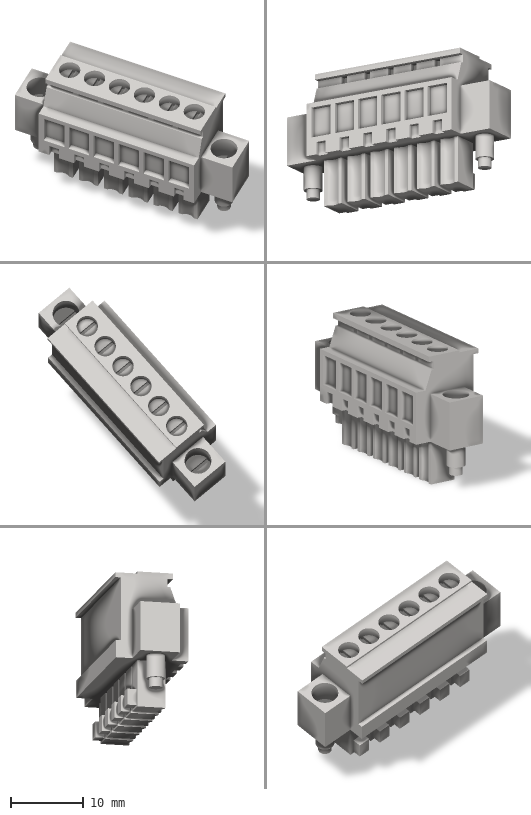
import cadquery as cq


total_length = 33.25
block_length = 23.75
terminal_count = 6
terminal_row_span = 19.05
pitch = terminal_row_span / (terminal_count - 1)
terminal_xs = [i * pitch - terminal_row_span / 2 for i in range(terminal_count)]
gap_xs = [x + pitch / 2 for x in terminal_xs[:-1]]

front_y = -5.2
shelf_y = -3.62
slope_top_y = -2.6
groove_back_y = -2.2
lip_front_y = -3.0
step_y = 2.1
lip_back_y = 5.25
back_y = 4.45
foot_back_y = 5.15
top_z = 12.47
groove_top_z = 11.67
groove_floor_z = 10.5
shelf_z = 7.6
back_lip_top_z = 12.17
back_lip_bottom_z = 11.47
foot_top_z = 2.5

window_width = 3.13
window_height = 4.32
window_bottom_z = 2.6
window_depth = 0.8
notch_width = 1.5
notch_height = 1.8
notch_depth = 0.7
slot_width = 0.9
slot_depth = 0.8

leg_width = 2.9
leg_front_y = -2.1
leg_back_y = 1.9
leg_length = 6.62
flute_width = 1.8
flute_depth = 0.33
hook_width = 1.8
hook_back_y = 3.2
hook_top_z = -4.02
hook_bottom_z = -6.32

flange_length = (total_length - block_length) / 2
flange_width = 5.62
flange_height = 7.0

slot_cut_width = 0.5
slot_cut_depth = 0.5
clamp_screw_diameter = 2.95
clamp_screw_recess = 1.43
clamp_screw_length = 2.65
flange_screw_x = 14.05
flange_head_diameter = 3.72
flange_head_recess = 3.32
flange_head_height = 1.65
flange_shank_diameter = 2.63
flange_shank_end_z = -3.3
flange_tip_diameter = 1.9
flange_tip_end_z = -4.6

clamp_screw_top_z = top_z - clamp_screw_recess
clamp_screw_bottom_z = clamp_screw_top_z - clamp_screw_length
flange_head_top_z = flange_height - flange_head_recess
flange_head_bottom_z = flange_head_top_z - flange_head_height


def box(x_center, x_size, y_min, y_max, z_min, z_max):
    """Box centred on x_center in X and spanning the given Y and Z ranges."""
    return (
        cq.Workplane("XY")
        .box(x_size, y_max - y_min, z_max - z_min, centered=(True, False, False))
        .translate((x_center, y_min, z_min))
    )


def rod(x, diameter, z_min, z_max):
    """Vertical cylinder on the screw axis plane."""
    return cq.Workplane("XY", origin=(x, 0, z_min)).circle(diameter / 2).extrude(z_max - z_min)


def cut_driver_slot(screw, x, head_diameter, head_top_z):
    """Cut a straight driver slot, running along Y, across the head of a screw."""
    radius = head_diameter / 2
    slot = box(x, slot_cut_width, -radius, radius, head_top_z - slot_cut_depth, head_top_z)
    return screw.cut(slot)


def make_block():
    """Central block: one Y-Z profile extruded along the terminal row."""
    profile = [
        (front_y, 0),
        (front_y, shelf_z),
        (shelf_y, shelf_z),
        (slope_top_y, groove_floor_z),
        (groove_back_y, groove_floor_z),
        (groove_back_y, groove_top_z),
        (lip_front_y, groove_top_z),
        (lip_front_y, top_z),
        (step_y, top_z),
        (step_y, back_lip_top_z),
        (lip_back_y, back_lip_top_z),
        (lip_back_y, back_lip_bottom_z),
        (back_y, back_lip_bottom_z),
        (back_y, foot_top_z),
        (foot_back_y, foot_top_z),
        (foot_back_y, 0),
    ]
    return cq.Workplane("YZ").polyline(profile).close().extrude(block_length / 2, both=True)


def make_leg(x):
    """Plug leg with a round flute down its front face and a narrower hook at its back."""
    leg = box(x, leg_width, leg_front_y, leg_back_y, -leg_length, 0)
    hook = box(x, hook_width, leg_back_y, hook_back_y, hook_bottom_z, hook_top_z)
    half_flute = flute_width / 2
    flute = (
        cq.Workplane("XY", origin=(x, leg_front_y, -leg_length))
        .moveTo(-half_flute, 0)
        .threePointArc((0, flute_depth), (half_flute, 0))
        .close()
        .extrude(leg_length)
    )
    return leg.union(hook).cut(flute)


def make_flange(side):
    """Mounting ear at one end of the block; side is -1 or +1."""
    x_center = side * (block_length + flange_length) / 2
    return box(x_center, flange_length, -flange_width / 2, flange_width / 2, 0, flange_height)


def make_housing():
    """Block, legs and flanges as one solid, with its openings and screw holes."""
    housing = make_block()
    for side in (-1, 1):
        housing = housing.union(make_flange(side))
    for x in terminal_xs:
        housing = housing.union(make_leg(x))

    window_top_z = window_bottom_z + window_height
    for x in terminal_xs:
        housing = housing.cut(
            box(x, window_width, front_y, front_y + window_depth, window_bottom_z, window_top_z)
        )
        housing = housing.cut(box(x, notch_width, front_y, front_y + notch_depth, 0, notch_height))
        housing = housing.cut(rod(x, clamp_screw_diameter, clamp_screw_bottom_z, top_z))

    for x in gap_xs:
        slot_back_y = groove_back_y + slot_depth
        housing = housing.cut(
            box(x, slot_width, groove_back_y, slot_back_y, groove_floor_z, groove_top_z)
        )

    for side in (-1, 1):
        x = side * flange_screw_x
        housing = housing.cut(rod(x, flange_head_diameter, flange_head_bottom_z, flange_height))
        housing = housing.cut(rod(x, flange_shank_diameter, 0, flange_head_bottom_z))
    return housing


def make_clamp_screw(x):
    """Slotted cylindrical screw sunk into the top of one terminal."""
    screw = rod(x, clamp_screw_diameter, clamp_screw_bottom_z, clamp_screw_top_z)
    return cut_driver_slot(screw, x, clamp_screw_diameter, clamp_screw_top_z)


def make_flange_screw(x):
    """Slotted screw with a head, a shank through the flange and a thinner tip."""
    head = rod(x, flange_head_diameter, flange_head_bottom_z, flange_head_top_z)
    shank = rod(x, flange_shank_diameter, flange_shank_end_z, flange_head_bottom_z)
    tip = rod(x, flange_tip_diameter, flange_tip_end_z, flange_shank_end_z)
    screw = head.union(shank).union(tip)
    return cut_driver_slot(screw, x, flange_head_diameter, flange_head_top_z)


housing = make_housing()
clamp_screws = [make_clamp_screw(x) for x in terminal_xs]
flange_screws = [make_flange_screw(side * flange_screw_x) for side in (-1, 1)]

result = cq.Compound.makeCompound(
    [housing.val()]
    + [screw.val() for screw in clamp_screws]
    + [screw.val() for screw in flange_screws]
)